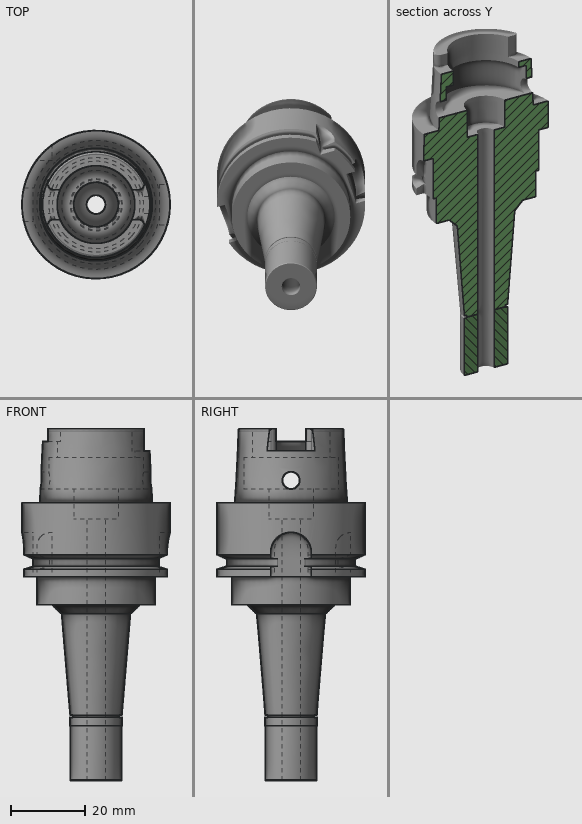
import cadquery as cq


SHANK_HEIGHT = 20.0
SHANK_BASE_RADIUS = 15.22
SHANK_TAPER = 1 / 20
SHANK_EDGE_ROUND = 0.6
MOUTH_RADIUS = 10.5
MOUTH_DEPTH = 7.8
CLAMP_BORE_RADIUS = 12.75
CLAMP_BORE_FLOOR_Z = 3.7
COOLANT_BORE_RADIUS = 6.0
COOLANT_BORE_DEPTH = 8.0
THROUGH_BORE_RADIUS = 2.5
ACCESS_HOLE_DIAMETER = 4.6
ACCESS_HOLE_Z = 6.0

DRIVE_SLOT_HALF_WIDTH = 4.025
DRIVE_SLOT_CORNER_RADIUS = 1.5
DRIVE_SLOT_FLAT_X = 13.0
SHALLOW_SLOT_DEPTH = 3.5
DEEP_SLOT_DEPTH = 6.0

FLANGE_RADIUS = 20.0
FLANGE_HEIGHT = 20.0
GROOVE_RADIUS = 17.4
GROOVE_TOP_Z = -14.0
GROOVE_FLOOR_TOP_Z = -15.2
GROOVE_FLOOR_BOTTOM_Z = -17.15
GROOVE_BOTTOM_Z = -18.0

KEY_SLOT_FLOOR_X = 17.0
KEY_SLOT_TOP_Z = -8.0
NARROW_KEY_SLOT_WIDTH = 9.0
WIDE_KEY_SLOT_WIDTH = 11.0
NOTCH_FLOOR_X = 12.0
NOTCH_WIDTH = 8.0
NOTCH_CENTER_Y = 16.0

COLLAR_RADIUS = 16.0
COLLAR_BOTTOM_Z = -27.6
SHOULDER_RADIUS = 11.8
SHOULDER_BOTTOM_Z = -30.0
STEM_TOP_RADIUS = 9.3
STEM_BOTTOM_RADIUS = 7.0
STEM_BOTTOM_Z = -57.3
NECK_RADIUS = 6.3

NUT_RADIUS = 7.0
NUT_TOP_Z = -57.9
NUT_BAND_RADIUS = 7.05
NUT_BAND_BOTTOM_Z = -60.2
NUT_BOTTOM_Z = -75.0
NUT_EDGE_CHAMFER = 0.2

SHANK_TOP_RADIUS = SHANK_BASE_RADIUS - SHANK_HEIGHT * SHANK_TAPER


def cylinder(radius, bottom_z, top_z):
    return cq.Workplane("XY", origin=(0, 0, bottom_z)).circle(radius).extrude(top_z - bottom_z)


def turned_holder():
    """Outside of the holder, turned about Z."""
    profile = (
        cq.Workplane("XZ")
        .moveTo(0, SHANK_HEIGHT)
        .lineTo(SHANK_TOP_RADIUS, SHANK_HEIGHT)
        .lineTo(SHANK_BASE_RADIUS, 0)
        .lineTo(FLANGE_RADIUS, 0)
        .lineTo(FLANGE_RADIUS, GROOVE_TOP_Z)
        .lineTo(GROOVE_RADIUS, GROOVE_FLOOR_TOP_Z)
        .lineTo(GROOVE_RADIUS, GROOVE_FLOOR_BOTTOM_Z)
        .lineTo(FLANGE_RADIUS, GROOVE_BOTTOM_Z)
        .lineTo(FLANGE_RADIUS, -FLANGE_HEIGHT)
        .lineTo(COLLAR_RADIUS, -FLANGE_HEIGHT)
        .lineTo(COLLAR_RADIUS, COLLAR_BOTTOM_Z)
        .lineTo(SHOULDER_RADIUS, COLLAR_BOTTOM_Z)
        .lineTo(STEM_TOP_RADIUS, SHOULDER_BOTTOM_Z)
        .lineTo(STEM_BOTTOM_RADIUS, STEM_BOTTOM_Z)
        .lineTo(NECK_RADIUS, STEM_BOTTOM_Z)
        .lineTo(NECK_RADIUS, NUT_TOP_Z)
        .lineTo(0, NUT_TOP_Z)
        .close()
    )
    return profile.revolve(360, (0, 0), (0, 1)).faces(">Z").edges().fillet(SHANK_EDGE_ROUND)


def holder_bores():
    """Stepped bore down the axis, with an undercut clamping bore behind the mouth."""
    coolant_bore_bottom_z = CLAMP_BORE_FLOOR_Z - COOLANT_BORE_DEPTH
    mouth = cylinder(MOUTH_RADIUS, CLAMP_BORE_FLOOR_Z, SHANK_HEIGHT)
    clamp_bore = cylinder(CLAMP_BORE_RADIUS, CLAMP_BORE_FLOOR_Z, SHANK_HEIGHT - MOUTH_DEPTH)
    coolant_bore = cylinder(COOLANT_BORE_RADIUS, coolant_bore_bottom_z, SHANK_HEIGHT)
    through_bore = cylinder(THROUGH_BORE_RADIUS, NUT_TOP_Z, SHANK_HEIGHT)
    return mouth.union(clamp_bore).union(coolant_bore).union(through_bore)


def access_hole():
    """Cross hole along X through both walls of the shank."""
    return (
        cq.Workplane("YZ", origin=(-FLANGE_RADIUS, 0, ACCESS_HOLE_Z))
        .circle(ACCESS_HOLE_DIAMETER / 2)
        .extrude(2 * FLANGE_RADIUS)
    )


def drive_slot(side, depth):
    """Slot through one wall of the shank; side is +1 for +X and -1 for -X."""
    arc_start_x = DRIVE_SLOT_FLAT_X - DRIVE_SLOT_CORNER_RADIUS
    arc_end_y = DRIVE_SLOT_HALF_WIDTH + DRIVE_SLOT_CORNER_RADIUS
    outline = (
        cq.Workplane("XY", origin=(0, 0, SHANK_HEIGHT - depth))
        .moveTo(0, -DRIVE_SLOT_HALF_WIDTH)
        .lineTo(side * arc_start_x, -DRIVE_SLOT_HALF_WIDTH)
        .radiusArc((side * DRIVE_SLOT_FLAT_X, -arc_end_y), side * DRIVE_SLOT_CORNER_RADIUS)
        .lineTo(side * DRIVE_SLOT_FLAT_X, -FLANGE_RADIUS)
        .lineTo(side * FLANGE_RADIUS, -FLANGE_RADIUS)
        .lineTo(side * FLANGE_RADIUS, FLANGE_RADIUS)
        .lineTo(side * DRIVE_SLOT_FLAT_X, FLANGE_RADIUS)
        .lineTo(side * DRIVE_SLOT_FLAT_X, arc_end_y)
        .radiusArc((side * arc_start_x, DRIVE_SLOT_HALF_WIDTH), side * DRIVE_SLOT_CORNER_RADIUS)
        .lineTo(0, DRIVE_SLOT_HALF_WIDTH)
        .close()
    )
    return outline.extrude(depth)


def flange_slot(side, floor_x, width, center_y=0):
    """Round-topped slot cut into the flange along X and open at the flange's lower face."""
    radius = width / 2
    arc_center_z = KEY_SLOT_TOP_Z - radius
    return (
        cq.Workplane("YZ", origin=(side * floor_x, center_y, 0))
        .moveTo(-radius, -FLANGE_HEIGHT)
        .lineTo(-radius, arc_center_z)
        .threePointArc((0, KEY_SLOT_TOP_Z), (radius, arc_center_z))
        .lineTo(radius, -FLANGE_HEIGHT)
        .close()
        .extrude(side * FLANGE_RADIUS)
    )


def make_holder():
    return (
        turned_holder()
        .cut(holder_bores())
        .cut(access_hole())
        .cut(drive_slot(-1, SHALLOW_SLOT_DEPTH))
        .cut(drive_slot(1, DEEP_SLOT_DEPTH))
        .cut(flange_slot(-1, KEY_SLOT_FLOOR_X, NARROW_KEY_SLOT_WIDTH))
        .cut(flange_slot(1, KEY_SLOT_FLOOR_X, WIDE_KEY_SLOT_WIDTH))
        .cut(flange_slot(-1, NOTCH_FLOOR_X, NOTCH_WIDTH, NOTCH_CENTER_Y))
    )


def make_nut():
    """Nut at the lower end, with a slightly wider band where it meets the holder."""
    barrel = cylinder(NUT_RADIUS, NUT_BOTTOM_Z, NUT_BAND_BOTTOM_Z)
    barrel = barrel.faces("<Z").edges().chamfer(NUT_EDGE_CHAMFER)
    band = cylinder(NUT_BAND_RADIUS, NUT_BAND_BOTTOM_Z, NUT_TOP_Z)
    return barrel.union(band).cut(cylinder(THROUGH_BORE_RADIUS, NUT_BOTTOM_Z, NUT_TOP_Z))


holder = make_holder()
nut = make_nut()
result = cq.Compound.makeCompound([holder.val(), nut.val()])